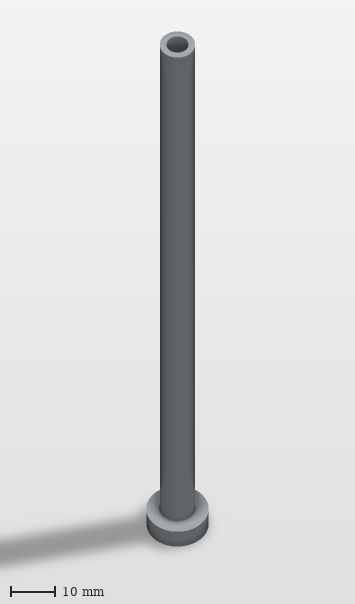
import cadquery as cq

total_length = 160.0
head_diameter = 14.0
head_height = 5.0
shank_diameter = 8.0
bore_diameter = 5.0
neck_fillet = 0.5

head_radius = head_diameter / 2
shank_radius = shank_diameter / 2
bore_radius = bore_diameter / 2

half_section = (
    cq.Workplane("XZ")
    .moveTo(-bore_radius, 0)
    .lineTo(-head_radius, 0)
    .lineTo(-head_radius, head_height)
    .lineTo(-shank_radius - neck_fillet, head_height)
    .radiusArc((-shank_radius, head_height + neck_fillet), -neck_fillet)
    .lineTo(-shank_radius, total_length)
    .lineTo(-bore_radius, total_length)
    .close()
)

result = half_section.revolve(360, (0, 0, 0), (0, 1, 0))